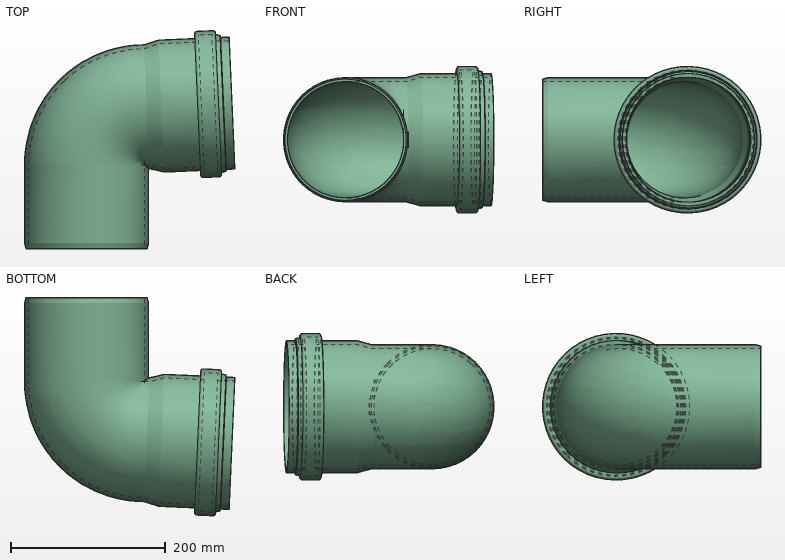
import cadquery as cq
import math

pipe_radius = 160.3 / 2
bore_radius = 150.0 / 2
spigot_length = 108.5
spigot_chamfer_length = 7.0
spigot_chamfer_depth = 2.0

bend_radius = 74.7
bend_angle = 87.5

wall = 4.8
socket_radius = 170.7 / 2
ring_radius = 189.0 / 2
shoulder_start_radius = 89.3
shoulder_end_radius = 88.0
rim_fillet = 3.5

neck_end = 6.5
flare_end = 25.4
ring_start = 71.8
ring_end = 99.0
shoulder_end = 104.5
lip_start = 105.5
socket_length = 116.4


def bend(radius):
    """Solid bend; the pipe section is cut off where it crosses the bend axis."""
    half_chord = math.sqrt(radius**2 - bend_radius**2)
    return (
        cq.Workplane("XZ", origin=(0, spigot_length, 0))
        .moveTo(bend_radius, -half_chord)
        .threePointArc((-radius, 0), (bend_radius, half_chord))
        .close()
        .revolve(bend_angle, (bend_radius, 2.8, 0), (bend_radius, -2.8, 0))
    )


def turned(stations):
    """Solid turned about the Y axis from (radius, position) points."""
    points = [(0, stations[0][1])] + stations + [(0, stations[-1][1])]
    return cq.Workplane("XY").polyline(points).close().revolve(360, (0, 0, 0), (0, 1, 0))


def place_on_bend(socket):
    """Carry a socket built along +Y from the origin to the end of the bend."""
    return (
        socket.translate((0, spigot_length, 0))
        .rotate((bend_radius, spigot_length, 0), (bend_radius, spigot_length, 1), -bend_angle)
    )


spigot = turned([
    (pipe_radius - spigot_chamfer_depth, 0),
    (pipe_radius, spigot_chamfer_length),
    (pipe_radius, spigot_length),
])

socket = turned([
    (pipe_radius, 0),
    (pipe_radius, neck_end),
    (socket_radius, flare_end),
    (socket_radius, ring_start),
    (ring_radius, ring_start),
    (ring_radius, ring_end),
    (shoulder_start_radius, ring_end),
    (shoulder_end_radius, shoulder_end),
    (socket_radius, lip_start),
    (socket_radius, socket_length),
])
socket = socket.edges(cq.selectors.RadiusNthSelector(-1)).fillet(rim_fillet)

socket_bore = turned([
    (bore_radius, 0),
    (bore_radius, neck_end),
    (socket_radius - wall, flare_end),
    (socket_radius - wall, ring_start + wall),
    (ring_radius - wall, ring_start + wall),
    (ring_radius - wall, ring_end - wall),
    (socket_radius - wall, ring_end - wall),
    (socket_radius - wall, socket_length),
])
spigot_bore = turned([(bore_radius, 0), (bore_radius, spigot_length)])

body = spigot.union(bend(pipe_radius)).union(place_on_bend(socket))
result = body.cut(spigot_bore).cut(bend(bore_radius)).cut(place_on_bend(socket_bore))